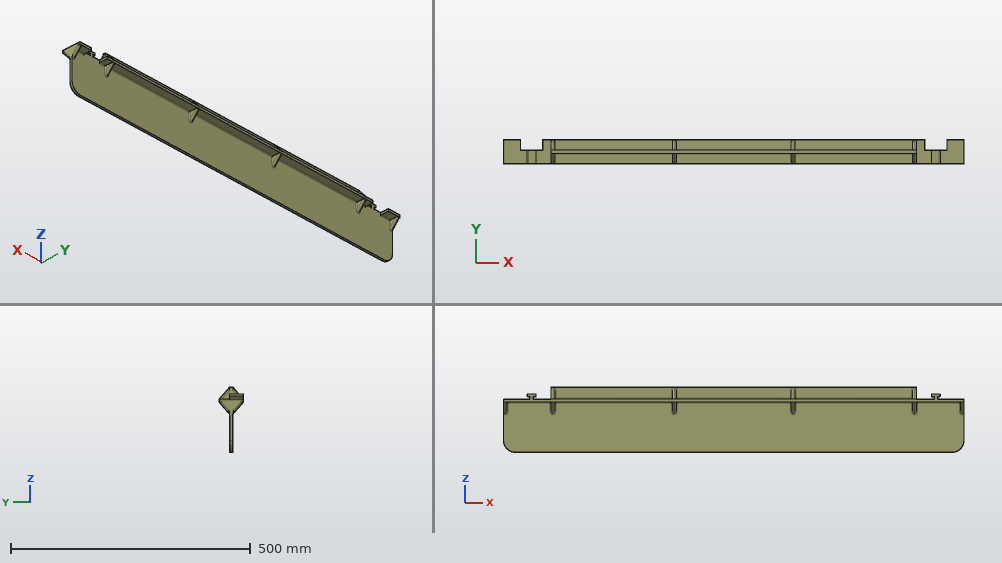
import cadquery as cq
length = 960.44
width = 50.8
height = 136.53
sheet = 6.35
rib_thickness = 7.94
deck_end_fillet = 1.5
rib_nose_flat = 0.1

rail_length = 762.0
rail_height = 25.4
inner_rib_spacing = 247.65
blade_corner_radius = 25.4
root_fillet = 2.0

notch_width = 46.0
hanger_inset = 58.74
hanger_height = 11.11
hanger_head_width = 19.05
hanger_stem_width = 7.94
hanger_round_radius = 3.0

deck_top = height - rail_height
deck_bottom = deck_top - sheet
half_sheet = sheet / 2
half_rib = rib_thickness / 2
rib_nose_radius = half_rib - rib_nose_flat / 2
half_width = width / 2
notch_depth = half_width - half_sheet
hanger_x = length / 2 - hanger_inset
end_rib_x = length / 2 - half_rib
rail_end_rib_x = rail_length / 2 - half_rib
rail_rib_positions = [-rail_end_rib_x, -inner_rib_spacing / 2, inner_rib_spacing / 2, rail_end_rib_x]
blade_rib_positions = [-end_rib_x] + rail_rib_positions + [end_rib_x]


def block(x_size, y_size, z_low, z_high):
    return cq.Workplane("XY").workplane(offset=z_low).rect(x_size, y_size).extrude(z_high - z_low)


def make_deck():
    deck = block(length, width, deck_bottom, deck_top)
    deck = deck.faces("<X or >X").edges("|Z or >Z").fillet(deck_end_fillet)
    for x in (-hanger_x, hanger_x):
        notch = block(notch_width, notch_depth, deck_bottom, deck_top)
        deck = deck.cut(notch.translate((x, half_width - notch_depth / 2, 0)))
    return deck


def make_blade():
    blade = block(length, sheet, 0, deck_bottom)
    return blade.edges("|Y").edges("<Z").fillet(blade_corner_radius)


def make_rail():
    return block(rail_length, sheet, deck_top, height)


def make_rib(x, root_z, tip_z):
    """Rib tapering from the full deck width to the plate, with rounded sloping edges."""
    run = half_width - half_sheet
    rise = tip_z - root_z
    triangle = [
        (half_width + run, root_z - rise),
        (half_sheet - run, tip_z + rise),
        (half_sheet - run, root_z - rise),
    ]
    wedge = cq.Workplane("YZ").polyline(triangle).close().extrude(half_rib, both=True)
    wedge = wedge.faces("<X or >X").edges("not (|Y or |Z)").fillet(rib_nose_radius)
    limits = block(rib_thickness, half_width, min(root_z, tip_z), max(root_z, tip_z))
    half = wedge.intersect(limits.translate((0, half_width / 2, 0)))
    return half.union(half.mirror("XZ")).translate((x, 0, 0))


def make_hanger(side):
    """T-shaped hook lying along Y; side is -1 or 1 for the left or right end."""
    depth = half_width + half_sheet
    hanger_top = deck_top + hanger_height
    head_bottom = hanger_top - sheet
    head = block(hanger_head_width, depth, head_bottom, hanger_top)
    head = head.faces(">X" if side > 0 else "<X").edges("|Y").fillet(hanger_round_radius)
    stem = block(hanger_stem_width, depth, deck_top, head_bottom)
    return head.union(stem).translate((side * hanger_x, half_sheet - depth / 2, 0))


def is_root_edge(edge):
    """True for inside corners on the blade or rail faces, where they meet the deck and ribs."""
    tolerance = 0.001
    box = edge.BoundingBox()
    middle = edge.Center()

    def matches(value, target):
        return abs(value - target) < tolerance

    if box.ylen > tolerance or not matches(abs(middle.y), half_sheet):
        return False
    on_rail = box.zmin > deck_top - tolerance
    on_blade = box.zmax < deck_bottom + tolerance
    plate_end = (rail_length if on_rail else length) / 2
    clear_of_ends = abs(middle.x) < plate_end - tolerance
    along_deck = matches(middle.z, deck_top) or matches(middle.z, deck_bottom)
    along_rib = box.xlen < tolerance
    return (on_rail or on_blade) and clear_of_ends and (along_deck or along_rib)


body = make_deck().union(make_blade()).union(make_rail())
for x in rail_rib_positions:
    body = body.union(make_rib(x, deck_top, height))
for x in blade_rib_positions:
    body = body.union(make_rib(x, deck_bottom, deck_bottom - rail_height))
for side in (-1, 1):
    body = body.union(make_hanger(side))

root_edges = [edge for edge in body.edges("|X or |Z").vals() if is_root_edge(edge)]
result = body.newObject(root_edges).fillet(root_fillet)